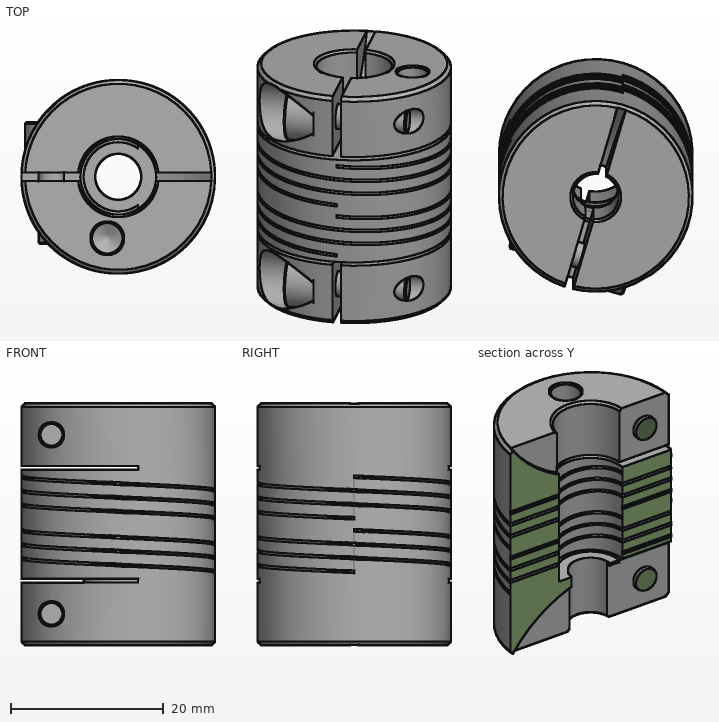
import cadquery as cq
import math

outer_radius = 12.7
length = 31.75
top_z = length / 2
rim_chamfer = 0.5

upper_bore_radius = 4.96
lower_bore_radius = 3.0
bore_floor_web = 0.05
bore_chamfer = 0.33

slit_inner_z = 7.16
slit_width = 0.47
slit_outer_z = slit_inner_z + slit_width
slit_end_x = 2.6
core_radius = 4.53

clamp_slot_width = 1.15
saw_radius = 19.05
saw_center_x = -3.5
saw_floor_z = 7.52

helix_spacing = 1.82
starts_per_set = 2
helix_pitch = starts_per_set * helix_spacing
helix_turns = 1.5
helix_cut_width = 0.35
helix_height = helix_pitch * helix_turns
helix_set_offset = 3.51

screw_x = -8.76
screw_z = 11.73
head_radius = 3.47
head_seat_y = 3.17
head_top_y = 7.17
shank_radius = 1.66
shank_tip_y = -8.8
screw_chamfer = 0.22
counterbore_radius = 3.75

blind_hole_x = -1.44
blind_hole_y = -8.05
blind_hole_radius = 2.0
blind_hole_depth = 5.5
blind_hole_chamfer = 0.22
drill_point_angle = 118.0

clearance = 1.0


def y_cylinder(radius, y_start, y_end, z):
    """Cylinder along Y on a screw axis."""
    start = cq.Vector(screw_x, y_start, z)
    return cq.Workplane(cq.Solid.makeCylinder(radius, y_end - y_start, start, cq.Vector(0, 1, 0)))


def z_cylinder(radius, z_start, z_end):
    """Cylinder on the main axis."""
    return cq.Workplane("XY").workplane(offset=z_start).circle(radius).extrude(z_end - z_start)


def cone_cutter(edge_radius, size, side_angle=45.0):
    """Cone with its wide end on the XY plane, pointing down; side_angle is measured from its axis."""
    big_radius = edge_radius + size
    depth = big_radius / math.tan(math.radians(side_angle))
    profile = cq.Workplane("XZ").polyline([(0, 0), (big_radius, 0), (0, -depth)]).close()
    return profile.revolve(360, (0, 0), (0, 1))


def cross_slit():
    """Upper slit, open to the -X side and ending at a straight face."""
    slit_length = outer_radius + clearance + slit_end_x
    return (
        cq.Workplane("XY")
        .box(slit_length, 2 * (outer_radius + clearance), slit_width, centered=(False, True, False))
        .translate((slit_end_x - slit_length, 0, slit_inner_z))
    )


def clamp_slot():
    """Upper clamp slot: flat floor on the -X side, then the saw arc rising to the end face."""
    def saw_point(angle):
        return (
            saw_center_x + saw_radius * math.sin(angle),
            saw_floor_z + saw_radius * (1 - math.cos(angle)),
        )

    slot_top_z = top_z + clearance
    exit_angle = math.acos(1 - (slot_top_z - saw_floor_z) / saw_radius)
    open_x = -outer_radius - clearance
    return (
        cq.Workplane("XZ")
        .moveTo(open_x, slot_top_z)
        .lineTo(open_x, saw_floor_z)
        .lineTo(saw_center_x, saw_floor_z)
        .threePointArc(saw_point(exit_angle / 2), saw_point(exit_angle))
        .close()
        .extrude(clamp_slot_width / 2, both=True)
    )


def helical_cut(mid_z, start_angle):
    """One helical slit through the wall, falling as it turns counter-clockwise from above."""
    inner_radius = upper_bore_radius - clearance
    outer_limit = outer_radius + clearance
    mid_radius = (inner_radius + outer_limit) / 2
    path = cq.Workplane(cq.Wire.makeHelix(helix_pitch, helix_height, mid_radius, lefthand=True))
    cut = (
        cq.Workplane("XZ")
        .center(mid_radius, 0)
        .rect(outer_limit - inner_radius, helix_cut_width)
        .sweep(path, isFrenet=True)
    )
    bottom_z = mid_z - helix_height / 2
    return cut.rotate((0, 0, 0), (0, 0, 1), start_angle).translate((0, 0, bottom_z))


def blind_hole():
    """Drilled hole with a pointed end and a chamfered mouth."""
    drill = cq.Workplane("XY").circle(blind_hole_radius).extrude(-blind_hole_depth)
    point = cone_cutter(blind_hole_radius, 0, drill_point_angle / 2).translate((0, 0, -blind_hole_depth))
    mouth = cone_cutter(blind_hole_radius, blind_hole_chamfer)
    return drill.union(point).union(mouth).translate((blind_hole_x, blind_hole_y, top_z))


def make_housing():
    body = z_cylinder(outer_radius, -top_z, top_z).edges().chamfer(rim_chamfer)

    body = body.cut(z_cylinder(lower_bore_radius, -top_z, top_z))
    body = body.cut(z_cylinder(upper_bore_radius, bore_floor_web - slit_inner_z, top_z))
    body = body.cut(cone_cutter(upper_bore_radius, bore_chamfer).translate((0, 0, top_z)))
    body = body.cut(cone_cutter(lower_bore_radius, bore_chamfer).mirror("XY").translate((0, 0, -top_z)))

    core = z_cylinder(core_radius, -slit_outer_z, -slit_inner_z)
    body = body.cut(cross_slit())
    body = body.cut(cross_slit().mirror("XY").cut(core))

    body = body.cut(clamp_slot())
    body = body.cut(clamp_slot().mirror("XY"))

    for mid_z in (-helix_set_offset, helix_set_offset):
        for start in range(starts_per_set):
            body = body.cut(helical_cut(mid_z, start * 360 / starts_per_set))

    for z in (-screw_z, screw_z):
        body = body.cut(y_cylinder(shank_radius, -outer_radius, head_seat_y, z))
        body = body.cut(y_cylinder(counterbore_radius, head_seat_y, outer_radius, z))

    return body.cut(blind_hole())


def make_screw(z):
    head = y_cylinder(head_radius, head_seat_y, head_top_y, z).faces(">Y").chamfer(screw_chamfer)
    shank = y_cylinder(shank_radius, shank_tip_y, head_seat_y, z).faces("<Y").chamfer(screw_chamfer)
    return head.union(shank)


housing = make_housing()
screws = [make_screw(z) for z in (-screw_z, screw_z)]

result = cq.Compound.makeCompound([housing.val(), *[screw.val() for screw in screws]])